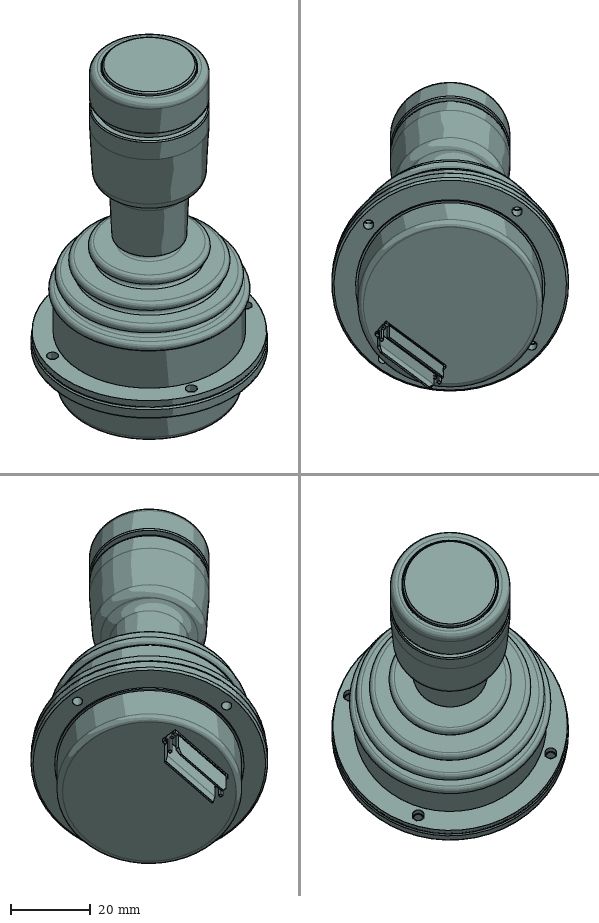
import cadquery as cq

base_bottom = 8.5
neck_bottom = 19.8
flange_bottom = 20.3
ring_bottom = 23.9
flange_top = 26.0
boot_bottom = 37.8
handle_bottom = 56.1
waist_bottom = 71.0
grip_bottom = 76.2
grip_cone_top = 90.6
grip_top = 96.3
cap_bottom = 98.6
cap_top = 108.5
part_top = 109.2

base_radius = 23.2
base_fillet = 1.4
neck_radius = 23.7
flange_radius = 59.3 / 2
flange_chamfer = 0.5
ring_radius = 29.4
drum_radius = 24.1
hole_circle_radius = 26.4
hole_count = 4
ring_hole_diameter = 3.0
flange_hole_diameter = 2.5

bead_radii = [15.3, 20.2, 23.6, 25.2]
groove_radii = [13.3, 18.3, 21.3]
bead_height = 2.6
groove_height = 1.9
bead_pitch = bead_height + groove_height
boot_top = boot_bottom + len(groove_radii) * bead_pitch + bead_height
stem_radius = 15.0 / 2
stem_fillet = 0.9

handle_foot_radius = 9.4
waist_radius = 10.0
grip_foot_radius = 14.3
grip_radius = 30.0 / 2
cap_neck_radius = 26.5 / 2
rim_chamfer = 0.3
cap_fillet = 2.0
button_radius = 23.7 / 2
button_chamfer = 0.4
button_gap_radius = 24.2 / 2
button_gap_depth = 0.7

connector_x = -15.7
connector_half_depth = 2.4
blade_thickness = 1.0
blade_foot_inset = 0.2
blade_half_width = 8.7
connector_half_width = 9.7
shoulder_height = 7.3
blade_tip_bevel_height = 1.9
blade_tip_bevel = 0.5
blade_corner_width = 1.1
tab_thickness = 0.8
tab_head_bottom = 7.0
tab_head_width = 2.0
tab_stem_width = 0.8
tab_tip_height = 1.6
embed = 1.1


def cylinder(radius, bottom, top):
    return cq.Workplane("XY").workplane(offset=bottom).circle(radius).extrude(top - bottom)


def revolve_about_z(profile):
    return profile.close().revolve(360, (0, 0, 0), (0, 1, 0))


def make_housing():
    base = cylinder(base_radius, base_bottom, flange_bottom).faces("<Z").edges().fillet(base_fillet)
    neck = cylinder(neck_radius, neck_bottom, flange_bottom)
    flange = cylinder(flange_radius, flange_bottom, ring_bottom).edges().chamfer(flange_chamfer)
    ring = cylinder(ring_radius, ring_bottom, flange_top)
    flange = drill_mounting_holes(flange, flange_hole_diameter)
    ring = drill_mounting_holes(ring, ring_hole_diameter)
    drum = cylinder(drum_radius, flange_top, boot_bottom)
    return base.union(neck).union(flange).union(ring).union(drum)


def drill_mounting_holes(plate, diameter):
    return (
        plate.faces(">Z").workplane(origin=(0, 0, 0))
        .polarArray(hole_circle_radius, 0, 360, hole_count)
        .hole(diameter)
    )


def make_boot():
    profile = cq.Workplane("XZ").moveTo(0, handle_bottom).lineTo(stem_radius, handle_bottom)
    profile = profile.lineTo(stem_radius, boot_top + stem_fillet)
    profile = profile.tangentArcPoint((stem_radius + stem_fillet, boot_top), relative=False)
    top = boot_top
    for index, bead_radius in enumerate(bead_radii):
        bottom = top - bead_height
        root_radius = bead_radius - bead_height / 2
        profile = profile.lineTo(root_radius, top)
        profile = profile.threePointArc((bead_radius, (top + bottom) / 2), (root_radius, bottom))
        top -= bead_pitch
        if index < len(groove_radii):
            profile = profile.threePointArc((groove_radii[index], (top + bottom) / 2), (root_radius, top))
    return revolve_about_z(profile.lineTo(0, boot_bottom))


def make_handle():
    shoulder_mid = ((grip_foot_radius + waist_radius) / 2, (grip_bottom + waist_bottom) / 2)
    profile = (
        cq.Workplane("XZ")
        .moveTo(0, grip_top)
        .lineTo(grip_radius - rim_chamfer, grip_top)
        .lineTo(grip_radius, grip_top - rim_chamfer)
        .lineTo(grip_radius, grip_cone_top)
        .lineTo(grip_foot_radius, grip_bottom)
        .tangentArcPoint(shoulder_mid, relative=False)
        .tangentArcPoint((waist_radius, waist_bottom), relative=False)
        .lineTo(handle_foot_radius, handle_bottom)
        .lineTo(0, handle_bottom)
    )
    return revolve_about_z(profile)


def make_cap():
    cap = cylinder(grip_radius, cap_bottom, cap_top)
    cap = cap.faces(">Z").edges().fillet(cap_fillet)
    cap = cap.faces("<Z").edges().chamfer(rim_chamfer)
    cap = cap.cut(cylinder(button_gap_radius, cap_top - button_gap_depth, cap_top))
    button = cylinder(button_radius, cap_top - button_gap_depth, part_top)
    button = button.faces(">Z").edges().chamfer(button_chamfer)
    return cap.union(cylinder(cap_neck_radius, grip_top, cap_bottom)).union(button)


def extrude_across_x(outline):
    return outline.close().extrude(connector_half_depth, both=True).translate((connector_x, 0, 0))


def make_blade(side, corner_width):
    """Blade on the -X (side -1) or +X (side +1) edge of the connector, its tip bevelled inside."""
    top = base_bottom + embed
    outer = connector_x + side * connector_half_depth
    inner = outer - side * blade_thickness
    section = (
        cq.Workplane("XZ")
        .moveTo(outer - side * blade_foot_inset, top)
        .lineTo(outer - side * blade_foot_inset, shoulder_height)
        .lineTo(outer, shoulder_height)
        .lineTo(outer, 0)
        .lineTo(inner + side * blade_tip_bevel, 0)
        .lineTo(inner, blade_tip_bevel_height)
        .lineTo(inner, top)
        .close()
        .extrude(connector_half_width, both=True)
    )
    outline = (
        cq.Workplane("YZ")
        .moveTo(0, top)
        .lineTo(connector_half_width, top)
        .lineTo(connector_half_width, shoulder_height)
        .lineTo(blade_half_width, shoulder_height)
        .lineTo(blade_half_width, blade_tip_bevel_height if corner_width else 0)
    )
    if corner_width:
        outline = outline.lineTo(blade_half_width - corner_width, 0)
    half = extrude_across_x(outline.lineTo(0, 0))
    return section.intersect(half.union(half.mirror("XZ")))


def make_tab(side):
    """T-shaped tab closing the -Y (side -1) or +Y (side +1) end of the connector."""
    y = side * (connector_half_width - tab_thickness / 2)
    top = base_bottom + embed
    head = cq.Workplane("XY").box(tab_head_width, tab_thickness, top - tab_head_bottom, (True, True, False))
    stem = cq.Workplane("XY").box(tab_stem_width, tab_thickness, top - tab_tip_height, (True, True, False))
    head = head.translate((connector_x, y, tab_head_bottom))
    return head.union(stem.translate((connector_x, y, tab_tip_height)))


result = make_housing().union(make_boot()).union(make_handle()).union(make_cap())
result = result.union(make_blade(-1, blade_corner_width)).union(make_blade(1, 0))
for end in (-1, 1):
    result = result.union(make_tab(end))